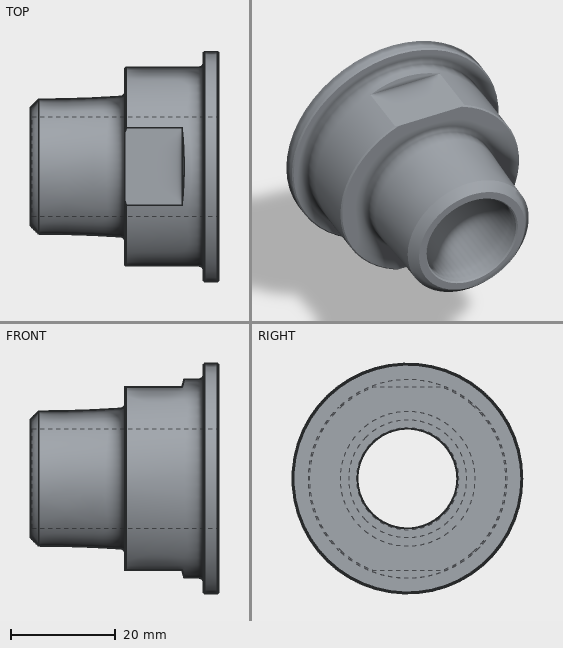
import cadquery as cq
import math

SPIGOT_CHAMFER = 1.65
SHOULDER_X = 18.1
FLANGE_X = 33.1
LENGTH = 36.0

BORE_R = 9.5
SPIGOT_R = 12.9
SPIGOT_ROOT_R = 13.4
BODY_R = 19.0
FLANGE_R = 22.0

ROOT_FILLET = 0.85
EDGE_CHAMFER = 0.25

ACROSS_FLATS = 35.02
FLAT_END_X = 29.0
FLAT_RUNOUT_ANGLE = 15.0


def flare_midpoint(start, end):
    """Middle point of an arc that starts parallel to X at start and rises to end."""
    run = end[0] - start[0]
    rise = end[1] - start[1]
    radius = (run**2 + rise**2) / (2 * rise)
    half_sweep = math.asin(run / radius) / 2
    return (
        start[0] + radius * math.sin(half_sweep),
        start[1] + radius * (1 - math.cos(half_sweep)),
    )


def make_turned_body():
    """Revolve the half section, including the bore, about the X axis."""
    flare_start = (SPIGOT_CHAMFER, SPIGOT_R)
    flare_end = (SHOULDER_X - ROOT_FILLET, SPIGOT_ROOT_R)
    profile = (
        cq.Workplane("XY")
        .moveTo(EDGE_CHAMFER, BORE_R)
        .lineTo(0, BORE_R + EDGE_CHAMFER)
        .lineTo(0, SPIGOT_R - SPIGOT_CHAMFER)
        .lineTo(*flare_start)
        .threePointArc(flare_midpoint(flare_start, flare_end), flare_end)
        .radiusArc((SHOULDER_X, SPIGOT_ROOT_R + ROOT_FILLET), -ROOT_FILLET)
        .lineTo(SHOULDER_X, BODY_R - EDGE_CHAMFER)
        .lineTo(SHOULDER_X + EDGE_CHAMFER, BODY_R)
        .lineTo(FLANGE_X - ROOT_FILLET, BODY_R)
        .radiusArc((FLANGE_X, BODY_R + ROOT_FILLET), -ROOT_FILLET)
        .lineTo(FLANGE_X, FLANGE_R - EDGE_CHAMFER)
        .lineTo(FLANGE_X + EDGE_CHAMFER, FLANGE_R)
        .lineTo(LENGTH - EDGE_CHAMFER, FLANGE_R)
        .lineTo(LENGTH, FLANGE_R - EDGE_CHAMFER)
        .lineTo(LENGTH, BORE_R)
        .close()
    )
    return profile.revolve(360, (0, 0, 0), (1, 0, 0))


def make_flat_cutter():
    """Material above the +Z wrench flat, with a sloped end wall."""
    flat_z = ACROSS_FLATS / 2
    runout = (FLANGE_R - flat_z) * math.tan(math.radians(FLAT_RUNOUT_ANGLE))
    return (
        cq.Workplane("XZ")
        .moveTo(0, flat_z)
        .lineTo(FLAT_END_X, flat_z)
        .lineTo(FLAT_END_X + runout, FLANGE_R)
        .lineTo(0, FLANGE_R)
        .close()
        .extrude(FLANGE_R, both=True)
    )


flat_cutter = make_flat_cutter()
result = make_turned_body().cut(flat_cutter).cut(flat_cutter.mirror("XY"))